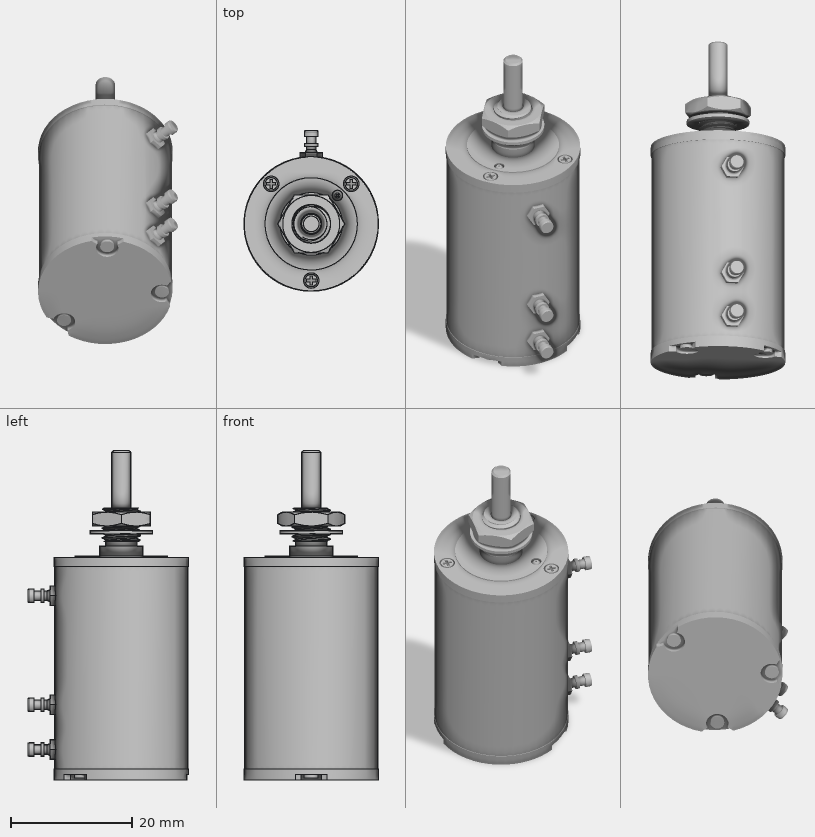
import cadquery as cq
import math

CAP_RADIUS = 22.23 / 2
BARREL_RADIUS = CAP_RADIUS - 0.11
BASE_CAP_TOP = 1.8
LID_BOTTOM = 35.25
LID_TOP = 36.8
PILOT_RADIUS = 7.62
PILOT_TOP = LID_TOP + 0.2

COLLAR_RADIUS = 3.57
COLLAR_TOP = 38.65
BUSHING_TOP = 44.95
THREAD_RADIUS = 3.175
THREAD_PITCH = 0.794
THREAD_ROOT_RADIUS = 2.6
THREAD_BOTTOM = 39.4
THREAD_OVERLAP = 0.08
THREAD_FLAT = 0.06
THREAD_END_BEVEL = 0.4
THREAD_RUN_IN = 1.5 * THREAD_PITCH

SHAFT_RADIUS = 3.175 / 2
SHAFT_TOP = 54.43
SHAFT_CHAMFER = 0.3
SHAFT_CLEARANCE = 0.15
SHAFT_CLEARANCE_DEPTH = 0.5

BORE_RADIUS = THREAD_RADIUS + 0.03
NUT_FLATS = 9.6
NUT_CORNERS = NUT_FLATS / math.cos(math.pi / 6)
NUT_BOTTOM = 41.92
NUT_HEIGHT = 2.38
NUT_CHAMFER_ANGLE = 30
NUT_FACE_RADIUS = 4.7
WASHER_RADIUS = 5.17
WASHER_BOTTOM = 40.65
WASHER_THICKNESS = 0.55

SCREW_ANGLES = (45, 135, 270)
SCREW_CIRCLE_RADIUS = 9.35
LID_SCREW_RADIUS = 1.02
LID_SCREW_BORE_RADIUS = 1.28
LID_SCREW_GAP_DEPTH = 0.4
CROSS_LENGTH = 1.5
CROSS_WIDTH = 0.45
CROSS_DEPTH = 0.4
POCKET_DEPTH = 0.9
POCKET_RADIUS = 1.85
POCKET_MOUTH_RADIUS = 3.9
POCKET_MOUTH_CENTER = 13.7
BASE_SCREW_RADIUS = 1.16
BASE_SCREW_HEIGHT = 0.55

INDEX_X = 4.33
INDEX_Y = 4.7
INDEX_RADIUS = 0.86
INDEX_TIP_RADIUS = 0.4
INDEX_DEPTH = 0.5
INDEX_PIT_RADIUS = 0.17

TERMINAL_HEIGHTS = (5.05, 12.45, 30.45)
TERMINAL_TIP = 26.55 - CAP_RADIUS
TERMINAL_SEAT = 10.6
HEX_FLATS = 3.25
HEX_OUTER = 11.75
SHOULDER_RADIUS = 1.0
SHOULDER_OUTER = 12.25
STEM_RADIUS = 0.8
FLANGE_RADIUS = 1.13
FLANGE_INNER = 12.75
FLANGE_OUTER = 13.3
HEAD_INNER = 14.4
HEAD_BEVEL = 0.07
HEAD_BEVEL_LENGTH = 0.27


def cylinder(radius, bottom, top):
    return cq.Workplane("XY").workplane(offset=bottom).circle(radius).extrude(top - bottom)


def around_axis(shape, angle):
    """Turn a shape made on the +X side about Z."""
    return shape.rotate((0, 0, 0), (0, 0, 1), angle)


def make_threaded_section():
    """Bushing core with a V ridge wound round it, trimmed and bevelled at both ends."""
    helix_bottom = THREAD_BOTTOM - THREAD_RUN_IN
    helix_top = BUSHING_TOP + THREAD_PITCH
    helix = cq.Wire.makeHelix(THREAD_PITCH, helix_top - helix_bottom, THREAD_ROOT_RADIUS)
    foot = THREAD_ROOT_RADIUS - THREAD_OVERLAP
    foot_half = THREAD_PITCH / 2 - THREAD_FLAT
    ridge = (
        cq.Workplane("XZ")
        .polyline([
            (foot, -foot_half),
            (THREAD_RADIUS, -THREAD_FLAT / 2),
            (THREAD_RADIUS, THREAD_FLAT / 2),
            (foot, foot_half),
        ])
        .close()
        .sweep(cq.Workplane(helix), isFrenet=True)
        .translate((0, 0, helix_bottom))
    )
    core = cylinder(THREAD_ROOT_RADIUS, helix_bottom - THREAD_PITCH, helix_top + THREAD_PITCH)
    envelope = cylinder(THREAD_RADIUS + THREAD_OVERLAP, THREAD_BOTTOM, BUSHING_TOP)
    envelope = envelope.faces(">Z or <Z").chamfer(THREAD_END_BEVEL)
    return core.union(ridge).intersect(envelope)


def make_lid_screw_cut():
    """Ring gap and cross recess of one screw set flush in the lid."""
    floor = LID_TOP - LID_SCREW_GAP_DEPTH
    ring = cylinder(LID_SCREW_BORE_RADIUS, floor, LID_TOP).cut(cylinder(LID_SCREW_RADIUS, floor, LID_TOP))
    cross = (
        cq.Workplane("XY")
        .workplane(offset=LID_TOP - CROSS_DEPTH)
        .rect(CROSS_LENGTH, CROSS_WIDTH)
        .extrude(CROSS_DEPTH)
        .union(
            cq.Workplane("XY")
            .workplane(offset=LID_TOP - CROSS_DEPTH)
            .rect(CROSS_WIDTH, CROSS_LENGTH)
            .extrude(CROSS_DEPTH)
        )
    )
    return ring.union(cross)


def make_base_pocket():
    """Pocket round one base screw, opening through the rim; the screw head stays inside."""
    bore = cylinder(POCKET_RADIUS, 0, POCKET_DEPTH).translate((SCREW_CIRCLE_RADIUS, 0, 0))
    mouth = cylinder(POCKET_MOUTH_RADIUS, 0, POCKET_DEPTH).translate((POCKET_MOUTH_CENTER, 0, 0))
    head = cylinder(BASE_SCREW_RADIUS, POCKET_DEPTH - BASE_SCREW_HEIGHT, POCKET_DEPTH)
    return bore.union(mouth).cut(head.translate((SCREW_CIRCLE_RADIUS, 0, 0)))


def make_index_cut():
    """Groove left between a round hole and the cone standing in it, with a pit in the cone's tip."""
    groove = (
        cq.Workplane("XZ")
        .polyline([
            (INDEX_TIP_RADIUS, 0),
            (INDEX_RADIUS, 0),
            (INDEX_RADIUS, -INDEX_DEPTH),
        ])
        .close()
        .revolve(360, (0, 0, 0), (0, 1, 0))
        .translate((0, 0, PILOT_TOP))
    )
    pit = cylinder(INDEX_PIT_RADIUS, PILOT_TOP - INDEX_DEPTH, PILOT_TOP)
    return groove.union(pit).translate((INDEX_X, INDEX_Y, 0))


def make_terminal(height):
    """Turret terminal with a hexagonal foot let into the barrel."""
    plane = cq.Plane(origin=(0, 0, height), xDir=(1, 0, 0), normal=(0, 1, 0))
    hex_foot = (
        cq.Workplane(plane)
        .workplane(offset=TERMINAL_SEAT)
        .polygon(6, HEX_FLATS / math.cos(math.pi / 6))
        .extrude(HEX_OUTER - TERMINAL_SEAT)
    )
    turned_post = (
        cq.Workplane("XY")
        .polyline([
            (0, HEX_OUTER),
            (SHOULDER_RADIUS, HEX_OUTER),
            (STEM_RADIUS, SHOULDER_OUTER),
            (STEM_RADIUS, FLANGE_INNER),
            (FLANGE_RADIUS, FLANGE_INNER),
            (FLANGE_RADIUS, FLANGE_OUTER),
            (STEM_RADIUS, FLANGE_OUTER),
            (STEM_RADIUS, HEAD_INNER),
            (FLANGE_RADIUS, HEAD_INNER),
            (FLANGE_RADIUS, TERMINAL_TIP - HEAD_BEVEL_LENGTH),
            (FLANGE_RADIUS - HEAD_BEVEL, TERMINAL_TIP),
            (0, TERMINAL_TIP),
        ])
        .close()
        .revolve(360, (0, 0, 0), (0, 1, 0))
        .translate((0, 0, height))
    )
    return hex_foot.union(turned_post)


def make_housing(terminals):
    housing = cylinder(CAP_RADIUS, 0, BASE_CAP_TOP)
    housing = housing.union(cylinder(BARREL_RADIUS, BASE_CAP_TOP, LID_BOTTOM))
    housing = housing.union(cylinder(CAP_RADIUS, LID_BOTTOM, LID_TOP))
    housing = housing.union(cylinder(PILOT_RADIUS, LID_TOP, PILOT_TOP))
    for angle in SCREW_ANGLES:
        x = SCREW_CIRCLE_RADIUS * math.cos(math.radians(angle))
        y = SCREW_CIRCLE_RADIUS * math.sin(math.radians(angle))
        housing = housing.cut(make_lid_screw_cut().translate((x, y, 0)))
        housing = housing.cut(around_axis(make_base_pocket(), angle))
    housing = housing.cut(make_index_cut())
    for terminal in terminals:
        housing = housing.cut(terminal)
    housing = housing.union(cylinder(COLLAR_RADIUS, PILOT_TOP, COLLAR_TOP))
    bushing = cylinder(THREAD_ROOT_RADIUS, COLLAR_TOP, THREAD_BOTTOM).union(make_threaded_section())
    clearance_floor = BUSHING_TOP - SHAFT_CLEARANCE_DEPTH
    bushing = bushing.cut(cylinder(SHAFT_RADIUS + SHAFT_CLEARANCE, clearance_floor, BUSHING_TOP))
    shaft = cylinder(SHAFT_RADIUS, clearance_floor, SHAFT_TOP).faces(">Z").chamfer(SHAFT_CHAMFER)
    return housing.union(bushing).union(shaft)


def make_nut():
    """Hexagon nut with both faces bevelled to a circle."""
    bevel_run = NUT_CORNERS / 2 - NUT_FACE_RADIUS
    bevel_rise = bevel_run * math.tan(math.radians(NUT_CHAMFER_ANGLE))
    envelope = (
        cq.Workplane("XZ")
        .polyline([
            (0, 0),
            (NUT_FACE_RADIUS, 0),
            (NUT_CORNERS / 2, bevel_rise),
            (NUT_CORNERS / 2, NUT_HEIGHT - bevel_rise),
            (NUT_FACE_RADIUS, NUT_HEIGHT),
            (0, NUT_HEIGHT),
        ])
        .close()
        .revolve(360, (0, 0, 0), (0, 1, 0))
    )
    blank = cq.Workplane("XY").polygon(6, NUT_CORNERS).circle(BORE_RADIUS).extrude(NUT_HEIGHT)
    return blank.intersect(envelope).translate((0, 0, NUT_BOTTOM))


def make_washer():
    washer = cq.Workplane("XY").workplane(offset=WASHER_BOTTOM).circle(WASHER_RADIUS)
    return washer.circle(BORE_RADIUS).extrude(WASHER_THICKNESS)


terminals = [make_terminal(height) for height in TERMINAL_HEIGHTS]
housing = make_housing(terminals)
nut = make_nut()
washer = make_washer()

result = cq.Compound.makeCompound([
    housing.val(),
    nut.val(),
    washer.val(),
    *[terminal.val() for terminal in terminals],
])